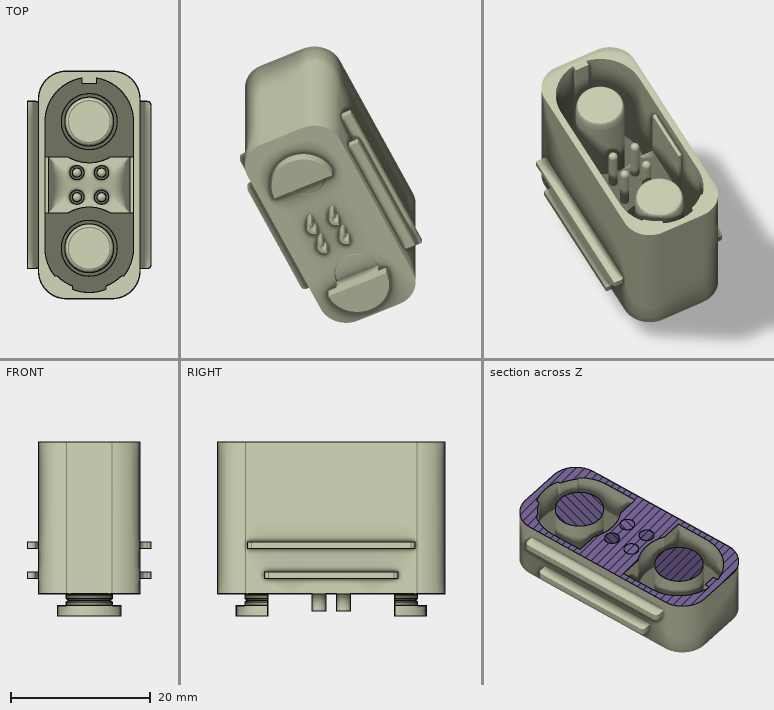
import cadquery as cq

body_width = 14.55
body_length = 32.55
body_height = 21.75
corner_radius = 4.0

power_pitch = 18.1
power_y = power_pitch / 2
cavity_width = 12.65
cavity_radius = cavity_width / 2
cavity_floor = 4.0

block_length = 7.98
block_top = 10.42
block_clearance_radius = 5.9
panel_thickness = 0.52
panel_top = 19.2

key_width = 2.05
key_tip_y = 14.52

ridge_gap = 4.82
ridge_radius = 6.5
ridge_shift = 0.65
ridge_start = 3.97

overall_width = 17.68
rib_thickness = 0.98
rib_corner_radius = 0.6
rib_root_depth = 0.15
upper_rib_bottom = 6.48
upper_rib_length = 23.93
lower_rib_bottom = 2.18
lower_rib_length = 19.05

power_collar_radius = 4.0
power_collar_bottom = 1.5
power_tip_diameter = 7.0
power_tip_radius = power_tip_diameter / 2
power_tip_top = 19.37
crown_height = 1.37
crown_flat_radius = 3.0
neck_radius = 3.3
groove_depth = 0.33
groove_width = 0.5
groove_centres = (-0.9, 0.1)
foot_radius = 4.55
foot_height = 1.5
foot_bottom = -3.15

signal_pitch = 3.52
signal_body_radius = 1.0
signal_tip_radius = 0.65
signal_tip_top = 17.45
signal_bottom = -2.45
cup_radius = 0.55

power_centres = [(0, side * power_y) for side in (-1, 1)]
signal_centres = [(x * signal_pitch / 2, y * signal_pitch / 2) for x in (-1, 1) for y in (-1, 1)]


def cylinder(radius, bottom, top, centre=(0, 0)):
    """Upright cylinder between two heights."""
    return cq.Workplane("XY", origin=(*centre, bottom)).circle(radius).extrude(top - bottom)


def block(x_range, y_range, z_range):
    """Axis-aligned box from its limits along each axis."""
    sizes = [high - low for low, high in (x_range, y_range, z_range)]
    corner = (x_range[0], y_range[0], z_range[0])
    return cq.Workplane("XY").box(*sizes, centered=False).translate(corner)


def cavity_slot(bottom, top):
    """Slot-shaped volume of the cavity outline between two heights."""
    slot = cq.Workplane("XY", origin=(0, 0, bottom))
    return slot.slot2D(power_pitch + cavity_width, cavity_width, 90).extrude(top - bottom)


def make_key():
    """Rectangular key standing on the +Y cavity wall over its full depth."""
    half = key_width / 2
    return block((-half, half), (key_tip_y, power_y + cavity_radius), (cavity_floor, body_height))


def make_ridges():
    """Two crescent ridges on the -Y cavity wall, either side of a central gap."""
    band = block(
        (-cavity_radius, cavity_radius),
        (-power_y - cavity_radius, -power_y - ridge_start),
        (cavity_floor, body_height),
    )
    crescent = cavity_slot(cavity_floor, body_height).intersect(band)
    inner = cylinder(ridge_radius, cavity_floor, body_height, (0, -power_y + ridge_shift))
    half = ridge_gap / 2
    gap = block((-half, half), (-body_length / 2, 0), (cavity_floor, body_height))
    return crescent.cut(inner).cut(gap)


def make_centre_block():
    """Raised block round the signal pins, scooped out concentric with each power pin."""
    half = block_length / 2
    raised = block((-cavity_radius, cavity_radius), (-half, half), (cavity_floor, block_top))
    for centre in power_centres:
        raised = raised.cut(cylinder(block_clearance_radius, cavity_floor, block_top, centre))
    return raised


def make_panels():
    """Thin panel on each long cavity wall, standing on the raised block."""
    half = block_length / 2
    panel = block((cavity_radius - panel_thickness, cavity_radius), (-half, half), (block_top, panel_top))
    return panel.union(panel.mirror("YZ"))


def make_rib_pair(bottom, length):
    """A rib on each side; both have their +X corners rounded, the -X one rooted in the wall."""
    rib_width = (overall_width - body_width) / 2 + rib_root_depth
    plate = block((0, rib_width), (-length / 2, length / 2), (bottom, bottom + rib_thickness))
    plate = plate.edges("|Z and >X").fillet(rib_corner_radius)
    left = plate.translate((-overall_width / 2, 0, 0))
    right = plate.translate((overall_width / 2 - rib_width, 0, 0))
    return left.union(right)


def power_pin_bore(centre):
    """Stepped bore: collar seat above, neck passage below."""
    seat = cylinder(power_collar_radius, power_collar_bottom, cavity_floor, centre)
    return seat.union(cylinder(neck_radius, 0, power_collar_bottom, centre))


def make_housing():
    shell = cq.Workplane("XY").rect(body_width, body_length).extrude(body_height)
    shell = shell.edges("|Z").fillet(corner_radius)
    shell = shell.union(make_rib_pair(upper_rib_bottom, upper_rib_length))
    shell = shell.union(make_rib_pair(lower_rib_bottom, lower_rib_length))
    cavity = cavity_slot(cavity_floor, body_height)
    for feature in (make_key(), make_ridges(), make_centre_block(), make_panels()):
        cavity = cavity.cut(feature)
    shell = shell.cut(cavity)
    for centre in power_centres:
        shell = shell.cut(power_pin_bore(centre))
    for centre in signal_centres:
        shell = shell.cut(cylinder(signal_body_radius, 0, block_top, centre))
    return shell


def neck_groove(height):
    """V-shaped ring centred at a height on the neck."""
    half = groove_width / 2
    profile = [
        (neck_radius, height - half),
        (neck_radius - groove_depth, height),
        (neck_radius, height + half),
    ]
    return cq.Workplane("XZ").polyline(profile).close().revolve(360, (0, 0), (0, 1))


def make_power_tip():
    """Revolved tip: flat top, rounded shoulder tangent to both top and side, straight side."""
    shoulder = [
        (crown_flat_radius, power_tip_top),
        (power_tip_radius, power_tip_top),
        (power_tip_radius, power_tip_top - crown_height),
    ]
    profile = (
        cq.Workplane("XZ")
        .moveTo(0, cavity_floor)
        .lineTo(0, power_tip_top)
        .lineTo(crown_flat_radius, power_tip_top)
        .bezier(shoulder)
        .lineTo(power_tip_radius, cavity_floor)
        .close()
    )
    return profile.revolve(360, (0, 0), (0, 1))


def make_power_pin(side):
    """Power pin at the +Y (side = 1) or -Y (side = -1) end; below the housing only its outer half remains."""
    pin = make_power_tip().union(cylinder(power_collar_radius, power_collar_bottom, cavity_floor))
    pin = pin.union(cylinder(neck_radius, foot_bottom, power_collar_bottom))
    pin = pin.union(cylinder(foot_radius, foot_bottom, foot_bottom + foot_height))
    for height in groove_centres:
        pin = pin.cut(neck_groove(height))
    inner_half = block((-foot_radius, foot_radius), (-foot_radius, 0), (foot_bottom, 0))
    pin = pin.cut(inner_half)
    if side < 0:
        pin = pin.mirror("XZ")
    return pin.translate((0, side * power_y, 0))


def make_signal_pin(centre):
    """Round-tipped signal pin with a half-open solder cup on its -X side."""
    tip = cylinder(signal_tip_radius, block_top, signal_tip_top - signal_tip_radius)
    dome = cq.Workplane("XY").sphere(signal_tip_radius)
    dome = dome.translate((0, 0, signal_tip_top - signal_tip_radius))
    pin = cylinder(signal_body_radius, signal_bottom, block_top).union(tip).union(dome)
    open_side = block(
        (-signal_body_radius, 0), (-signal_body_radius, signal_body_radius), (signal_bottom, 0)
    )
    pin = pin.cut(open_side).cut(cylinder(cup_radius, signal_bottom, 0))
    return pin.translate((*centre, 0))


housing = make_housing()
power_pins = [make_power_pin(side) for side in (-1, 1)]
signal_pins = [make_signal_pin(centre) for centre in signal_centres]

result = cq.Compound.makeCompound(
    [housing.val()] + [pin.val() for pin in power_pins] + [pin.val() for pin in signal_pins]
)